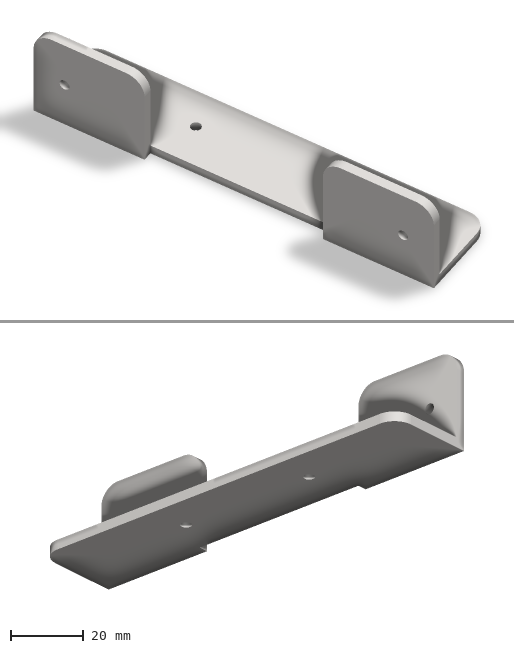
import cadquery as cq

length = 130.0
depth = 28.0
height = 30.0
thickness = 3.0

tab_width = 36.0
corner_radius = 6.0

hole_diameter = 3.2
tab_hole_inset = 10.0
tab_hole_height = height / 2
base_hole_spacing = 45.0
base_hole_from_front = 16.0


def make_base():
    """Flat plate behind the tabs, with rounded rear corners and two holes."""
    plate = (
        cq.Workplane("XY")
        .box(length, depth - thickness, thickness, centered=(True, False, False))
        .translate((0, thickness, 0))
        .edges("|Z and >Y")
        .fillet(corner_radius)
    )
    holes = (
        cq.Workplane("XY")
        .pushPoints([(side * base_hole_spacing / 2, base_hole_from_front) for side in (-1, 1)])
        .circle(hole_diameter / 2)
        .extrude(thickness)
    )
    return plate.cut(holes)


def make_tab(side):
    """Upright tab at one end (side is -1 or 1), with rounded top and one hole."""
    tab = (
        cq.Workplane("XY")
        .box(tab_width, thickness, height, centered=(True, False, False))
        .translate((side * (length - tab_width) / 2, 0, 0))
        .edges("|Y and >Z")
        .fillet(corner_radius)
    )
    hole = (
        cq.Workplane("XZ")
        .center(side * (length / 2 - tab_hole_inset), tab_hole_height)
        .circle(hole_diameter / 2)
        .extrude(-thickness)
    )
    return tab.cut(hole)


result = make_base()
for end in (-1, 1):
    result = result.union(make_tab(end))